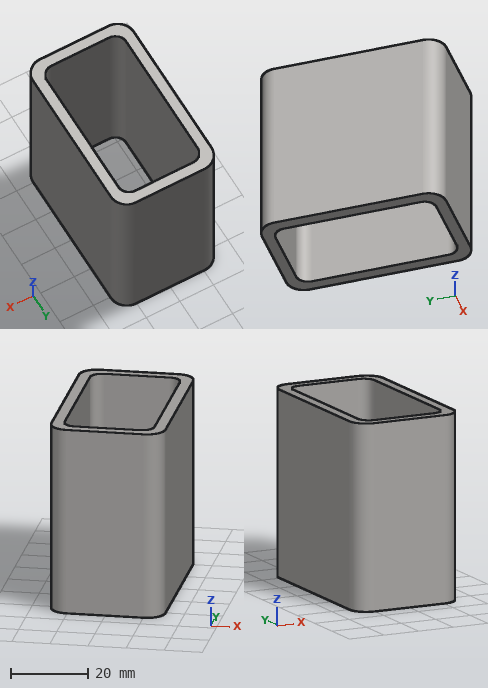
import cadquery as cq

width = 30.0
depth = 50.0
height = 50.0
wall = 3.2
outer_radius = 4.8
inner_radius = 3.2


def rounded_block(size_x, size_y, corner_radius):
    """Full-height block with rounded vertical edges, standing on Z = 0."""
    block = cq.Workplane("XY").rect(size_x, size_y).extrude(height)
    return block.edges("|Z").fillet(corner_radius)


outer = rounded_block(width, depth, outer_radius)
bore = rounded_block(width - 2 * wall, depth - 2 * wall, inner_radius)

result = outer.cut(bore)